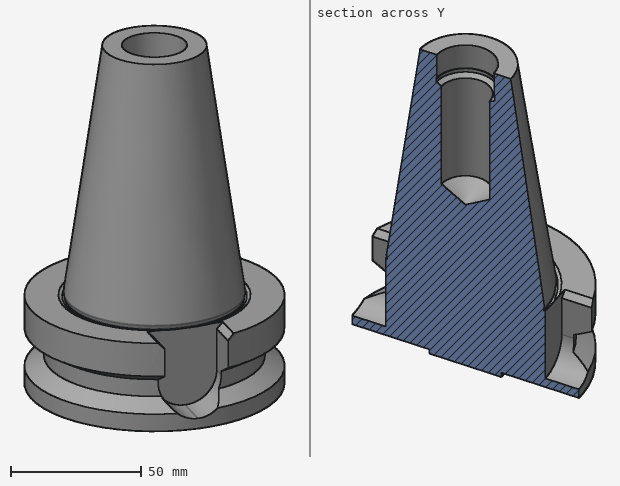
import cadquery as cq
import math


taper_length = 101.8
taper_ratio = 7 / 24
gauge_diameter = 69.85
gauge_land_height = 0.3

neck_diameter = 69.25
relief_diameter = 73.8
relief_floor_diameter = 71.0
relief_depth = 0.5

flange_diameter = 99.97
flange_top_z = -1.5
flange_bottom_z = -38.0
groove_center_z = -23.0
groove_floor_diameter = 85.0
groove_floor_width = 7.0
groove_flank_angle = 30.0

boss_diameter = 32.0
boss_height = 2.0
boss_chamfer = 0.4

slot_width = 25.7
slot_corner_radius = 25.47 / 2
slot_floor_distance = 35.2
slot_bottom_z = -33.7
slot_chamfer = 2.5

pilot_diameter = 25.02
pilot_depth = 11.0
undercut_diameter = 25.5
undercut_depth = 12.8
drill_diameter = 21.0
drill_depth = 60.0
drill_point_angle = 120.0


def cone_height(large_diameter, small_diameter):
    """Axial length of a drill-point cone between two diameters."""
    radius_change = (large_diameter - small_diameter) / 2
    return radius_change / math.tan(math.radians(drill_point_angle / 2))


def revolve_profile(points):
    """Revolve a closed (radius, z) outline about the Z axis."""
    outline = cq.Workplane("XZ").polyline(points).close()
    return outline.revolve(360, (0, 0, 0), (0, 1, 0))


def make_body():
    top_radius = (gauge_diameter - taper_length * taper_ratio) / 2
    flange_radius = flange_diameter / 2
    groove_radius = groove_floor_diameter / 2
    boss_radius = boss_diameter / 2
    relief_floor_z = flange_top_z - relief_depth
    boss_bottom_z = flange_bottom_z - boss_height
    groove_floor_half = groove_floor_width / 2
    flank_height = (flange_radius - groove_radius) * math.tan(math.radians(groove_flank_angle))
    groove_mouth_half = groove_floor_half + flank_height

    return revolve_profile([
        (0, taper_length),
        (top_radius, taper_length),
        (gauge_diameter / 2, 0),
        (gauge_diameter / 2, -gauge_land_height),
        (neck_diameter / 2, flange_top_z),
        (neck_diameter / 2, relief_floor_z),
        (relief_floor_diameter / 2, relief_floor_z),
        (relief_diameter / 2, flange_top_z),
        (flange_radius, flange_top_z),
        (flange_radius, groove_center_z + groove_mouth_half),
        (groove_radius, groove_center_z + groove_floor_half),
        (groove_radius, groove_center_z - groove_floor_half),
        (flange_radius, groove_center_z - groove_mouth_half),
        (flange_radius, flange_bottom_z),
        (boss_radius, flange_bottom_z),
        (boss_radius, boss_bottom_z + boss_chamfer),
        (boss_radius - boss_chamfer, boss_bottom_z),
        (0, boss_bottom_z),
    ])


def make_bore():
    pilot_radius = pilot_diameter / 2
    undercut_radius = undercut_diameter / 2
    drill_radius = drill_diameter / 2
    pilot_end_z = taper_length - pilot_depth
    undercut_end_z = taper_length - undercut_depth
    drill_start_z = undercut_end_z - cone_height(undercut_diameter, drill_diameter)
    drill_end_z = taper_length - drill_depth
    drill_tip_z = drill_end_z - cone_height(drill_diameter, 0)

    return revolve_profile([
        (0, taper_length),
        (pilot_radius, taper_length),
        (pilot_radius, pilot_end_z),
        (undercut_radius, pilot_end_z),
        (undercut_radius, undercut_end_z),
        (drill_radius, drill_start_z),
        (drill_radius, drill_end_z),
        (0, drill_tip_z),
    ])


def make_slot_cutter():
    """Round-bottomed +X drive slot with chamfered upper edges."""
    half_width = slot_width / 2
    mouth_half_width = half_width + slot_chamfer
    chamfer_end_z = flange_top_z - slot_chamfer
    arc_center_z = slot_bottom_z + slot_corner_radius
    flat_half_width = half_width - slot_corner_radius
    arc_mid_offset = slot_corner_radius * math.sin(math.radians(45))
    arc_mid_y = flat_half_width + arc_mid_offset
    arc_mid_z = arc_center_z - arc_mid_offset
    slot_length = flange_diameter / 2 - slot_floor_distance

    return (
        cq.Workplane("YZ", origin=(slot_floor_distance, 0, 0))
        .moveTo(-mouth_half_width, 0)
        .lineTo(-mouth_half_width, flange_top_z)
        .lineTo(-half_width, chamfer_end_z)
        .lineTo(-half_width, arc_center_z)
        .threePointArc((-arc_mid_y, arc_mid_z), (-flat_half_width, slot_bottom_z))
        .lineTo(flat_half_width, slot_bottom_z)
        .threePointArc((arc_mid_y, arc_mid_z), (half_width, arc_center_z))
        .lineTo(half_width, chamfer_end_z)
        .lineTo(mouth_half_width, flange_top_z)
        .lineTo(mouth_half_width, 0)
        .close()
        .extrude(slot_length)
    )


result = make_body().cut(make_bore())
slot_cutter = make_slot_cutter()
for slot_angle in (0, 180):
    result = result.cut(slot_cutter.rotate((0, 0, 0), (0, 0, 1), slot_angle))